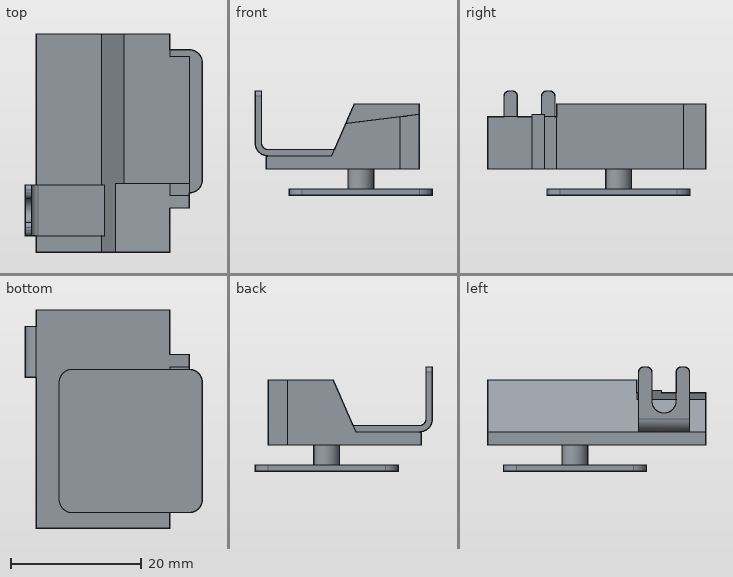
import cadquery as cq


housing_length = 33.5
body_width = 20.5
full_width = 23.5
housing_height = 10.0
ledge_width = 10.0
ledge_height = 2.0
flank_top_x = 13.5
extension_start_y = 6.8
extension_end_y = 30.05

ramp_length = 10.6
ramp_low_z = 7.0
ramp_high_z = 8.05

insert_start_y = 8.75
insert_end_y = ramp_length
insert_height = ramp_high_z

sheet = 1.0
terminal_left_x = -1.7
terminal_top_z = 12.0
bend_inner_radius = 1.0
bend_outer_radius = bend_inner_radius + sheet
prong_width = 2.08
prong_corner_radius = 0.8
fork_slot_width = 3.7
fork_slot_center_z = 6.77
terminal_start_y = 2.5
terminal_width = 2 * prong_width + fork_slot_width
terminal_center_y = terminal_start_y + terminal_width / 2

stem_diameter = 4.0
stem_length = 3.0
stem_x = 14.5
stem_y = 20.1
plate_side = 21.98
plate_thickness = 1.0
plate_corner_radius = 2.0


def flank_x(z):
    """X position of the inclined flank at height z."""
    run_per_rise = (flank_top_x - ledge_width) / (housing_height - ledge_height)
    return ledge_width + (z - ledge_height) * run_per_rise


def extrude_along_y(profile, start_y, end_y):
    """Extrude a closed XZ sketch, drawn on the XZ plane, from start_y to end_y."""
    return profile.extrude(start_y - end_y).translate((0, start_y, 0))


def box_between(x_range, y_range, z_range):
    """Box filling the given X, Y and Z ranges."""
    (x0, x1), (y0, y1), (z0, z1) = x_range, y_range, z_range
    return cq.Workplane("XY").box(x1 - x0, y1 - y0, z1 - z0, centered=False).translate((x0, y0, z0))


def make_housing():
    section = (
        cq.Workplane("XZ")
        .lineTo(body_width, 0)
        .lineTo(body_width, housing_height)
        .lineTo(flank_top_x, housing_height)
        .lineTo(ledge_width, ledge_height)
        .lineTo(0, ledge_height)
        .close()
    )
    housing = extrude_along_y(section, 0, housing_length)

    extension = box_between(
        (body_width, full_width), (extension_start_y, extension_end_y), (0, housing_height)
    )
    housing = housing.union(extension)

    ramp_low_x = flank_x(ramp_low_z)
    ramp_slope = (ramp_high_z - ramp_low_z) / (body_width - ramp_low_x)
    ramp_end_z = ramp_high_z + ramp_slope * (full_width - body_width)
    wedge = (
        cq.Workplane("XZ")
        .moveTo(ramp_low_x, ramp_low_z)
        .lineTo(full_width, ramp_end_z)
        .lineTo(full_width, housing_height)
        .lineTo(ramp_low_x, housing_height)
        .close()
    )
    housing = housing.cut(extrude_along_y(wedge, 0, ramp_length))

    notch = box_between(
        (body_width, full_width), (insert_start_y, insert_end_y), (0, housing_height)
    )
    return housing.cut(notch)


def make_insert():
    return box_between(
        (body_width, full_width), (insert_start_y, insert_end_y), (0, insert_height)
    )


def make_terminal():
    inner_x = terminal_left_x + sheet
    foot_top_z = ledge_height + sheet
    bend_x = terminal_left_x + bend_outer_radius
    bend_z = ledge_height + bend_outer_radius
    section = (
        cq.Workplane("XZ")
        .moveTo(terminal_left_x, terminal_top_z)
        .lineTo(terminal_left_x, bend_z)
        .radiusArc((bend_x, ledge_height), -bend_outer_radius)
        .lineTo(ledge_width, ledge_height)
        .lineTo(flank_x(foot_top_z), foot_top_z)
        .lineTo(bend_x, foot_top_z)
        .radiusArc((inner_x, bend_z), bend_inner_radius)
        .lineTo(inner_x, terminal_top_z)
        .close()
    )
    terminal = extrude_along_y(section, terminal_start_y, terminal_start_y + terminal_width)

    slot_y0 = terminal_center_y - fork_slot_width / 2
    slot_y1 = terminal_center_y + fork_slot_width / 2
    slot_bottom_z = fork_slot_center_z - fork_slot_width / 2
    fork_slot = (
        cq.Workplane("YZ", origin=(terminal_left_x, 0, 0))
        .moveTo(slot_y0, terminal_top_z)
        .lineTo(slot_y0, fork_slot_center_z)
        .threePointArc((terminal_center_y, slot_bottom_z), (slot_y1, fork_slot_center_z))
        .lineTo(slot_y1, terminal_top_z)
        .close()
        .extrude(sheet)
    )
    terminal = terminal.cut(fork_slot)

    return terminal.faces(">Z").edges("|X").fillet(prong_corner_radius)


def make_stem():
    return (
        cq.Workplane("XY")
        .center(stem_x, stem_y)
        .circle(stem_diameter / 2)
        .extrude(-stem_length)
    )


def make_plate():
    return (
        cq.Workplane("XY", origin=(stem_x, stem_y, -stem_length))
        .rect(plate_side, plate_side)
        .extrude(-plate_thickness)
        .edges("|Z")
        .fillet(plate_corner_radius)
    )


housing = make_housing()
insert = make_insert()
terminal = make_terminal()
stem = make_stem()
plate = make_plate()

bodies = [housing, insert, terminal, stem, plate]
result = cq.Compound.makeCompound([body.solids().val() for body in bodies])